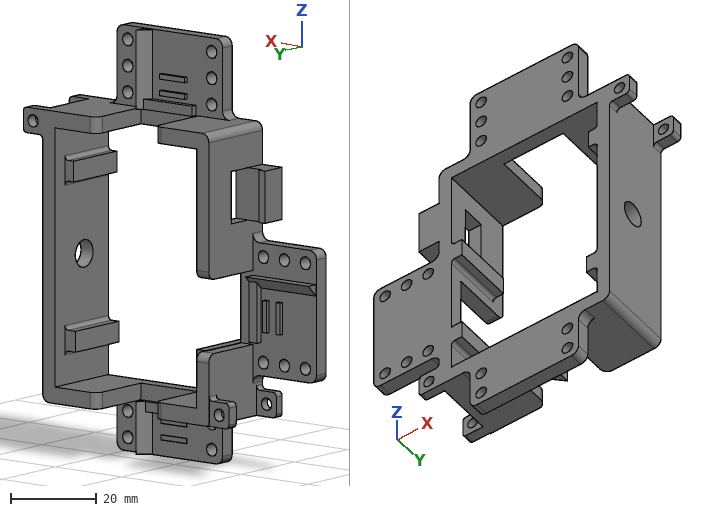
import cadquery as cq


FRAME_WIDTH = 50.0
FRAME_HEIGHT = 70.0
FRAME_DEPTH = 20.3
SIDE_WALL = 3.7
END_WALL = 4.0
CORNER_RADIUS = 2.0

PLATE_THICKNESS = 3.7
END_GAP_WIDTH = 17.3
SIDE_GAP_BOTTOM = 17.2
SIDE_GAP_TOP = 34.9

PLATE_WIDTH = 31.8
PLATE_RADIUS = 2.0
PLATE_HOLE = 3.1
HOLE_PITCH = 6.3
HOLE_COLUMN_SPACING = 4 * HOLE_PITCH
LONG_PLATE = 19.2
LOWER_PLATE = 12.7
SIDE_PLATE_CENTRE = 25.9

STOP_LENGTH = 15.8
STOP_DEPTH = 2.4
STOP_HEIGHT = 1.5
LOWER_STOP_HEIGHT = 1.2
BAR_LENGTH = 7.6
BAR_WIDTH = 1.2
BAR_TO_RAIL_FACE = 5.5
BAR_STARTS = (3.7, 7.6)
BAR_HEIGHT = 0.9
LOWER_BAR_HEIGHT = 0.3
RAIL_SIZE = 2.8
LONG_RAIL_LENGTH = 3 * HOLE_PITCH
LOWER_RAIL_LENGTH = 2 * HOLE_PITCH

EAR_HEIGHT = 6.1
EAR_RADIUS = 1.0
EAR_HOLE = 3.0
EAR_HOLE_INSET = 3.1
LEFT_EAR_LENGTH = 5.9
RIGHT_EAR_LENGTH = 5.8
EAR_THICKNESS = 3.0
LEFT_FRONT_EAR_THICKNESS = 2.2
LEFT_BACK_EAR_SETBACK = 0.2

RIB_HEIGHT = 5.0
RIB_DEPTH = 16.4
RIB_RADIUS = 1.0
LOWER_RIB_BOTTOM = 12.1
LEFT_RIB_BOTTOM = 39.0
RIGHT_RIB_BOTTOM = 52.8
LEFT_RIB_REACH = 3.1
LOWER_RIGHT_RIB_REACH = 3.2
UPPER_RIGHT_RIB_REACH = 2.5

BLOCK_BOTTOM = 47.3
BLOCK_HEIGHT = 12.5
BLOCK_DEPTH = 6.4
WINDOW_FRONT = 5.5
WINDOW_BACK = 11.7
WINDOW_REACH = 4.0
CABLE_HOLE = 6.6
CABLE_HOLE_DEPTH = 9.2
CABLE_HOLE_HEIGHT = 34.3


def block(x_range, y_range, z_range):
    """Box between pairs of X, Y and Z limits."""
    (x0, x1), (y0, y1), (z0, z1) = x_range, y_range, z_range
    return cq.Workplane("XY").box(x1 - x0, y1 - y0, z1 - z0, centered=False).translate((x0, y0, z0))


def bore(x, z, diameter):
    """Cylinder along Y, through the whole depth of the frame."""
    return cq.Workplane("XZ").center(x, z).circle(diameter / 2).extrude(-FRAME_DEPTH)


def corner_fill(x, z, x_side, z_side, radius, y_range):
    """Concave fillet along Y in the inside corner at (x, z), on the given sides (+1 or -1)."""
    y0, y1 = y_range
    centre_x = x + x_side * radius
    centre_z = z + z_side * radius
    square = (
        cq.Workplane("XZ", origin=(0, y0, 0))
        .center(x + x_side * radius / 2, z + z_side * radius / 2)
        .rect(radius, radius)
        .extrude(y0 - y1)
    )
    round_cut = cq.Workplane("XZ", origin=(0, y0, 0)).center(centre_x, centre_z).circle(radius).extrude(y0 - y1)
    return square.cut(round_cut)


def hollow_frame():
    """Four-walled frame, rounded only at the two corners that carry no ears."""
    frame = block((0, FRAME_WIDTH), (0, FRAME_DEPTH), (0, FRAME_HEIGHT))
    frame = frame.edges("|Y and <X and >Z").fillet(CORNER_RADIUS)
    frame = frame.edges("|Y and >X and <Z").fillet(CORNER_RADIUS)
    return frame.cut(
        block(
            (SIDE_WALL, FRAME_WIDTH - SIDE_WALL),
            (0, FRAME_DEPTH),
            (END_WALL, FRAME_HEIGHT - END_WALL),
        )
    )


def wall_gaps():
    """Openings behind the plates: one through both end walls and one through the left wall."""
    middle = FRAME_WIDTH / 2
    gap_x = (middle - END_GAP_WIDTH / 2, middle + END_GAP_WIDTH / 2)
    gap_y = (PLATE_THICKNESS, FRAME_DEPTH)
    end_gap = block(gap_x, gap_y, (0, FRAME_HEIGHT))
    side_gap = block((0, SIDE_WALL), gap_y, (SIDE_GAP_BOTTOM, SIDE_GAP_TOP))
    return end_gap, side_gap


def round_gap_corners(frame):
    """Round the wall ends where the gaps open at the back face."""
    middle = FRAME_WIDTH / 2
    near = 0.1
    back_low = FRAME_DEPTH - near
    back_high = FRAME_DEPTH + near
    for x in (middle - END_GAP_WIDTH / 2, middle + END_GAP_WIDTH / 2):
        low = (x - near, back_low, -near)
        high = (x + near, back_high, FRAME_HEIGHT + near)
        frame = frame.edges(cq.selectors.BoxSelector(low, high)).edges("|Z").fillet(CORNER_RADIUS)
    for z in (SIDE_GAP_BOTTOM, SIDE_GAP_TOP):
        low = (-near, back_low, z - near)
        high = (SIDE_WALL + near, back_high, z + near)
        frame = frame.edges(cq.selectors.BoxSelector(low, high)).edges("|X").fillet(CORNER_RADIUS)
    return frame


def flange_plate(length, hole_rows, stop_height, bar_height, rail_length):
    """Plate centred on X = 0 that grows toward +Z from Z = 0, with its fittings on the back."""
    half_width = PLATE_WIDTH / 2
    half_stop = STOP_LENGTH / 2
    thickness = (0, PLATE_THICKNESS)
    plate = block((-half_width, half_width), thickness, (0, length))
    plate = plate.edges("|Y and >Z").fillet(PLATE_RADIUS)
    for side in (-1, 1):
        plate = plate.union(corner_fill(side * half_width, 0, side, 1, PLATE_RADIUS, thickness))
        for row in range(hole_rows):
            hole_z = (row + 0.5) * HOLE_PITCH
            plate = plate.cut(bore(side * HOLE_COLUMN_SPACING / 2, hole_z, PLATE_HOLE))

    stop_y = (PLATE_THICKNESS, PLATE_THICKNESS + stop_height)
    plate = plate.union(block((-half_stop, half_stop), stop_y, (0, STOP_DEPTH)))

    bar_end = half_stop - BAR_TO_RAIL_FACE
    bar_y = (PLATE_THICKNESS, PLATE_THICKNESS + bar_height)
    for start in BAR_STARTS:
        plate = plate.union(block((bar_end - BAR_LENGTH, bar_end), bar_y, (start, start + BAR_WIDTH)))

    rail = (
        cq.Workplane("XY")
        .moveTo(half_stop - RAIL_SIZE, PLATE_THICKNESS)
        .lineTo(half_stop, PLATE_THICKNESS)
        .lineTo(half_stop, PLATE_THICKNESS + RAIL_SIZE)
        .close()
        .extrude(rail_length)
    )
    return plate.union(rail)


def screw_ear(side, wall_x, length, z_range, y_range):
    """Ear that grows from the side wall at wall_x; side is -1 for the left and +1 for the right."""
    tip_x = wall_x + side * length
    ear = block((min(wall_x, tip_x), max(wall_x, tip_x)), y_range, z_range)
    ear = ear.edges("|Y and <X" if side < 0 else "|Y and >X").fillet(EAR_RADIUS)
    if side < 0:
        fill = corner_fill(wall_x, z_range[1], side, 1, EAR_RADIUS, y_range)
    else:
        fill = corner_fill(wall_x, z_range[0], side, -1, EAR_RADIUS, y_range)
    return ear.union(fill)


def guide_rib(side, reach, bottom, fillet_top=True):
    """Rib on an inner side face; side is +1 on the left wall and -1 on the right wall."""
    face_x = SIDE_WALL if side > 0 else FRAME_WIDTH - SIDE_WALL
    tip_x = face_x + side * reach
    top = bottom + RIB_HEIGHT
    depth = (0, RIB_DEPTH)
    rib = block((min(face_x, tip_x), max(face_x, tip_x)), depth, (bottom, top))
    rib = rib.union(corner_fill(face_x, bottom, side, -1, RIB_RADIUS, depth))
    if fillet_top:
        rib = rib.union(corner_fill(face_x, top, side, 1, RIB_RADIUS, depth))
    return rib


result = hollow_frame()
for gap in wall_gaps():
    result = result.cut(gap)
result = round_gap_corners(result)

upper_plate = flange_plate(LONG_PLATE, 3, STOP_HEIGHT, BAR_HEIGHT, LONG_RAIL_LENGTH)
lower_plate = flange_plate(LOWER_PLATE, 2, LOWER_STOP_HEIGHT, LOWER_BAR_HEIGHT, LOWER_RAIL_LENGTH)
side_plate = upper_plate.rotate((0, 0, 0), (0, 1, 0), -90)
result = result.union(upper_plate.translate((FRAME_WIDTH / 2, 0, FRAME_HEIGHT)))
result = result.union(lower_plate.mirror("XY").translate((FRAME_WIDTH / 2, 0, 0)))
result = result.union(side_plate.translate((0, 0, SIDE_PLATE_CENTRE)))

left_ear_z = (0, EAR_HEIGHT)
right_ear_z = (FRAME_HEIGHT - EAR_HEIGHT, FRAME_HEIGHT)
back_ear_front = FRAME_DEPTH - EAR_THICKNESS
for ear_y in ((0, LEFT_FRONT_EAR_THICKNESS), (back_ear_front, FRAME_DEPTH - LEFT_BACK_EAR_SETBACK)):
    result = result.union(screw_ear(-1, 0, LEFT_EAR_LENGTH, left_ear_z, ear_y))
for ear_y in ((0, EAR_THICKNESS), (back_ear_front, FRAME_DEPTH)):
    result = result.union(screw_ear(1, FRAME_WIDTH, RIGHT_EAR_LENGTH, right_ear_z, ear_y))
result = result.cut(bore(-LEFT_EAR_LENGTH / 2, EAR_HOLE_INSET, EAR_HOLE))
right_hole_x = FRAME_WIDTH + RIGHT_EAR_LENGTH / 2
result = result.cut(bore(right_hole_x, FRAME_HEIGHT - EAR_HOLE_INSET, EAR_HOLE))

result = result.union(guide_rib(1, LEFT_RIB_REACH, LOWER_RIB_BOTTOM, fillet_top=False))
result = result.union(guide_rib(1, LEFT_RIB_REACH, LEFT_RIB_BOTTOM))
result = result.union(guide_rib(-1, LOWER_RIGHT_RIB_REACH, LOWER_RIB_BOTTOM))
result = result.union(guide_rib(-1, UPPER_RIGHT_RIB_REACH, RIGHT_RIB_BOTTOM))

block_z = (BLOCK_BOTTOM, BLOCK_BOTTOM + BLOCK_HEIGHT)
result = result.union(block((-LEFT_EAR_LENGTH, 0), (0, BLOCK_DEPTH), block_z))
result = result.cut(block((-WINDOW_REACH, SIDE_WALL), (WINDOW_FRONT, WINDOW_BACK), block_z))

cable_hole = (
    cq.Workplane("YZ", origin=(FRAME_WIDTH - SIDE_WALL, 0, 0))
    .center(CABLE_HOLE_DEPTH, CABLE_HOLE_HEIGHT)
    .circle(CABLE_HOLE / 2)
    .extrude(SIDE_WALL)
)
result = result.cut(cable_hole)